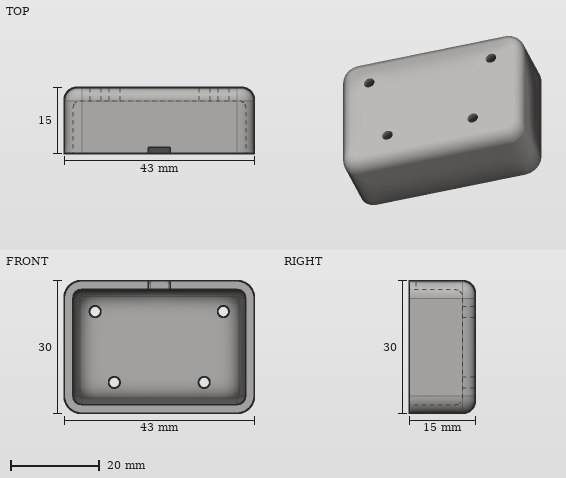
import cadquery as cq

LENGTH = 43.0
DEPTH = 15.0
HEIGHT = 30.0
WALL = 2.0
BACK_THICKNESS = 3.0
CORNER_RADIUS = 4.0
BACK_EDGE_RADIUS = 3.0
INNER_CORNER_RADIUS = CORNER_RADIUS - WALL
FLOOR_FILLET_RADIUS = 1.5

HOLE_DIAMETER = 2.5
UPPER_HOLE_SPACING = 28.95
LOWER_HOLE_SPACING = 20.3
HOLE_ROW_SPACING = 16.0

NOTCH_WIDTH = 5.0
NOTCH_DEPTH = 1.5
NOTCH_CORNER_RADIUS = 0.5

FRONT_Y = -DEPTH / 2
BACK_Y = DEPTH / 2
TOP_Z = HEIGHT / 2


def rounded_block(length, depth, height, corner_radius, back_edge_radius):
    """Block with rounded corners along Y and a rounded +Y edge; its -Y face lies at the rim."""
    return (
        cq.Workplane("XY")
        .box(length, depth, height)
        .translate((0, FRONT_Y + depth / 2, 0))
        .edges("|Y")
        .fillet(corner_radius)
        .faces(">Y")
        .edges()
        .fillet(back_edge_radius)
    )


def screw_holes():
    """Four cylinders along Y; the upper pair is set wider apart than the lower pair."""
    rows = (
        (UPPER_HOLE_SPACING, HOLE_ROW_SPACING / 2),
        (LOWER_HOLE_SPACING, -HOLE_ROW_SPACING / 2),
    )
    centres = [(side * spacing / 2, z) for spacing, z in rows for side in (-1, 1)]
    return (
        cq.Workplane("XZ", origin=(0, BACK_Y, 0))
        .pushPoints(centres)
        .circle(HOLE_DIAMETER / 2)
        .extrude(DEPTH)
    )


def rim_notch():
    """Cutter through the top wall, open at the rim, with its two inner corners rounded."""
    return (
        cq.Workplane("XY")
        .box(NOTCH_WIDTH, NOTCH_DEPTH, WALL)
        .translate((0, FRONT_Y + NOTCH_DEPTH / 2, TOP_Z - WALL / 2))
        .edges("|Z and >Y")
        .fillet(NOTCH_CORNER_RADIUS)
    )


shell = rounded_block(LENGTH, DEPTH, HEIGHT, CORNER_RADIUS, BACK_EDGE_RADIUS)
cavity = rounded_block(
    LENGTH - 2 * WALL,
    DEPTH - BACK_THICKNESS,
    HEIGHT - 2 * WALL,
    INNER_CORNER_RADIUS,
    FLOOR_FILLET_RADIUS,
)

result = shell.cut(cavity).cut(screw_holes()).cut(rim_notch())